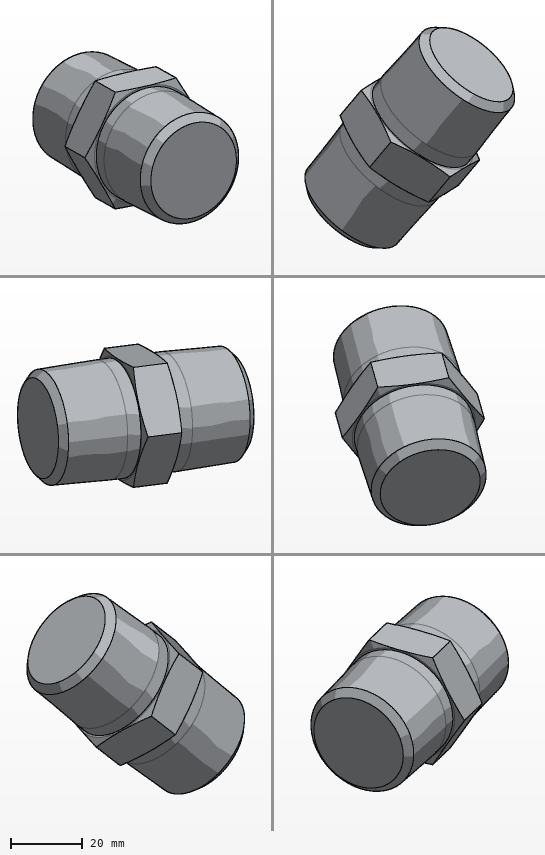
import cadquery as cq
import math

total_length = 59.45
collar_diameter = 33.7
collar_length = 19.75
thread_taper = 1 / 16
end_chamfer = 2.15

hex_sides = 6
hex_across_flats = 34.9
hex_across_corners = hex_across_flats / math.cos(math.pi / hex_sides)
hex_width = 11.7
hex_chamfer_angle = 15.0
hex_chamfer_diameter = 34.85


def revolve_about_x(profile):
    """Turn a closed outline in the XY plane about the X axis."""
    return cq.Workplane("XY").polyline(profile).close().revolve(360, (0, 0, 0), (1, 0, 0))


def threaded_body():
    """Straight collar with tapered ends and chamfered tips."""
    end_x = total_length / 2
    chamfer_x = end_x - end_chamfer
    collar_x = collar_length / 2
    collar_radius = collar_diameter / 2
    taper_radius = collar_radius - thread_taper / 2 * (chamfer_x - collar_x)
    end_radius = taper_radius - end_chamfer
    return revolve_about_x([
        (-end_x, 0),
        (-end_x, end_radius),
        (-chamfer_x, taper_radius),
        (-collar_x, collar_radius),
        (collar_x, collar_radius),
        (chamfer_x, taper_radius),
        (end_x, end_radius),
        (end_x, 0),
    ])


def chamfered_hexagon():
    """Hexagon with flats on top and bottom, its corners turned down to a cone at both ends."""
    face_x = hex_width / 2
    face_radius = hex_chamfer_diameter / 2
    corner_radius = hex_across_corners / 2
    chamfer_depth = (corner_radius - face_radius) * math.tan(math.radians(hex_chamfer_angle))
    corner_x = face_x - chamfer_depth
    hexagon = cq.Workplane("YZ").polygon(hex_sides, hex_across_corners).extrude(face_x, both=True)
    envelope = revolve_about_x([
        (-face_x, 0),
        (-face_x, face_radius),
        (-corner_x, corner_radius),
        (corner_x, corner_radius),
        (face_x, face_radius),
        (face_x, 0),
    ])
    return hexagon.intersect(envelope)


result = threaded_body().union(chamfered_hexagon())